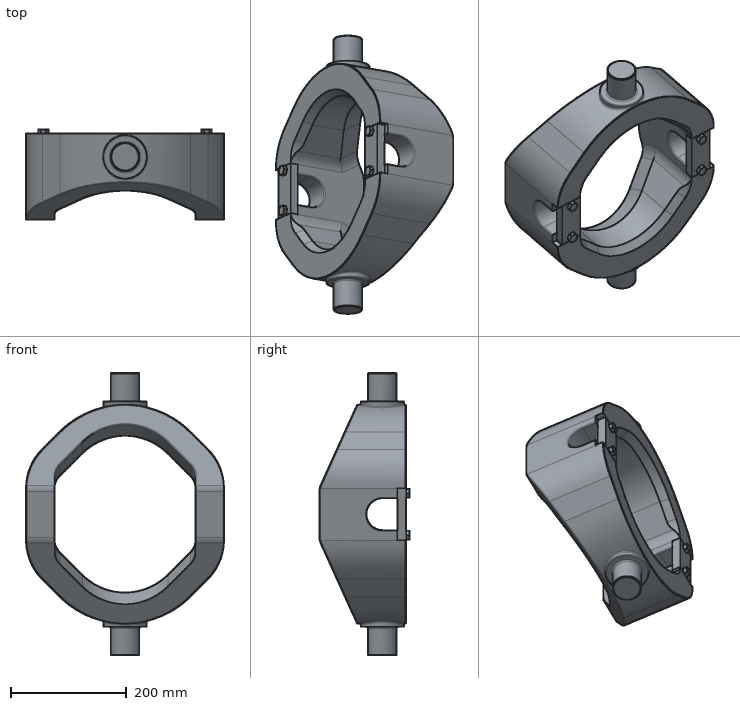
import cadquery as cq
import math


plate_thickness = 15.0

ring_depth = 150.0
outer_half_width = 171.4
outer_corner_radius = 95.0
outer_end_radius = 160.0
flat_half_height = 45.0
inner_half_width = 122.0
inner_corner_radius = 30.0
inner_end_radius = 105.0
inner_flat_half_height = flat_half_height

flare_angle = 30
flare_corner_radius = 49
flare_depth = plate_thickness
flare_width = flare_depth * math.tan(math.radians(flare_angle))

slope_angle = 24.4
slope_blend_radius = 24.5
relief_depth = 40.0
relief_angle = 30
edge_radius = 2.0
back_edge_chamfer = 1.0

trunnion_radius = 25.0
trunnion_tip = 244.5
trunnion_setback = 41.0
trunnion_tip_chamfer = 1.5
trunnion_root_radius = 2.5
collar_radius = 37.5
collar_tip = 195.0
collar_edge_radius = 1.5
collar_root_radius = 2.0

plate_width = 40.0
slot_radius = 27.5
slot_edge_radius = 2.0

bolt_across_flats = 15.5
bolt_head_height = 6.5
bolt_half_spacing = 36.0
bolt_inset = 19.5

slope_radians = math.radians(slope_angle)
reach = 2 * trunnion_tip
margin = 0.5


def flank_reach(half_width, flat_half, corner_radius):
    """Sum of |X| and |Z| on the 45 degree flanks of an octagon outline."""
    return half_width + flat_half + (math.sqrt(2) - 1) * corner_radius


def octagon_prism(half_width, flat_half, corner_radius, end_radius, depth, taper=0):
    """Prism from Y = 0 to -depth: straight sides, 45 degree flanks and round ends."""
    half_diagonal = math.sqrt(0.5)
    corner_center_x = half_width - corner_radius
    end_center_z = flank_reach(half_width, flat_half, corner_radius) - end_radius / half_diagonal
    corner_mid = (
        corner_center_x + corner_radius * math.cos(math.pi / 8),
        flat_half + corner_radius * math.sin(math.pi / 8),
    )
    corner_end = (
        corner_center_x + corner_radius * half_diagonal,
        flat_half + corner_radius * half_diagonal,
    )
    end_start = (end_radius * half_diagonal, end_center_z + end_radius * half_diagonal)
    end_top = (0, end_center_z + end_radius)

    def flip(point, x_sign, z_sign):
        return (x_sign * point[0], z_sign * point[1])

    outline = cq.Workplane("XZ").moveTo(half_width, -flat_half).lineTo(half_width, flat_half)
    outline = outline.threePointArc(corner_mid, corner_end).lineTo(*end_start)
    outline = outline.threePointArc(end_top, flip(end_start, -1, 1))
    outline = outline.lineTo(*flip(corner_end, -1, 1))
    outline = outline.threePointArc(flip(corner_mid, -1, 1), (-half_width, flat_half))
    outline = outline.lineTo(-half_width, -flat_half)
    outline = outline.threePointArc(flip(corner_mid, -1, -1), flip(corner_end, -1, -1))
    outline = outline.lineTo(*flip(end_start, -1, -1))
    outline = outline.threePointArc(flip(end_top, 1, -1), flip(end_start, 1, -1))
    outline = outline.lineTo(*flip(corner_end, 1, -1))
    outline = outline.threePointArc(flip(corner_mid, 1, -1), (half_width, -flat_half))
    return outline.close().extrude(depth, taper=taper)


def opening_prism():
    """Straight opening through the whole depth of the ring."""
    return octagon_prism(
        inner_half_width, inner_flat_half_height, inner_corner_radius, inner_end_radius, ring_depth
    )


def back_flare():
    """Bevel on the flanks and round ends of the opening, running out at its side walls."""
    inner_reach = flank_reach(inner_half_width, inner_flat_half_height, inner_corner_radius)
    flat_half = inner_reach + math.sqrt(2) * flare_width
    flat_half -= flank_reach(inner_half_width, 0, flare_corner_radius)
    return octagon_prism(
        inner_half_width,
        flat_half,
        flare_corner_radius,
        inner_end_radius + flare_width,
        flare_depth,
        taper=flare_angle,
    )


def upper_relief():
    """Upper half of the opening, bent outwards from a plane parallel to the sloped front."""
    bend_y = -ring_depth + relief_depth / math.cos(slope_radians)
    bend_y -= flat_half_height * math.tan(slope_radians)
    upper_half_behind_bend = (
        cq.Workplane("YZ")
        .polyline([(0, 0), (bend_y, 0), (bend_y + reach * math.tan(slope_radians), reach), (0, reach)])
        .close()
        .extrude(outer_half_width, both=True)
    )
    bend_face = opening_prism().intersect(upper_half_behind_bend).faces("<Y").val()
    step_y = 2 * relief_depth
    step_z = step_y * math.tan(math.radians(relief_angle))
    return cq.Workplane(cq.Solid.extrudeLinear(bend_face, cq.Vector(0, -step_y, step_z)))


def side_envelope():
    """Side outline of the ring: a flat front between two slopes, blended where they meet."""
    slope_run = reach * math.tan(slope_radians)
    far_height = flat_half_height + reach
    return (
        cq.Workplane("YZ")
        .polyline(
            [
                (slope_run, far_height),
                (slope_run - ring_depth, far_height),
                (-ring_depth, flat_half_height),
                (-ring_depth, -flat_half_height),
                (slope_run - ring_depth, -far_height),
                (slope_run, -far_height),
            ]
        )
        .close()
        .extrude(outer_half_width, both=True)
        .faces("<Y")
        .edges("|X")
        .fillet(slope_blend_radius)
    )


def make_ring():
    """Ring with its sloped front, its opening and the rounded front edges."""
    ring = octagon_prism(
        outer_half_width, flat_half_height, outer_corner_radius, outer_end_radius, ring_depth
    )
    ring = ring.intersect(side_envelope())
    ring = ring.faces(">Y").edges().chamfer(back_edge_chamfer)
    relief = upper_relief()
    ring = ring.cut(opening_prism().union(relief)).cut(back_flare())
    ring = ring.faces("<Y").edges("|Z").fillet(edge_radius)
    return ring.cut(relief.mirror("XY"))


def slot_cutter(radius, length):
    """Round-ended slot along X, centred on the trunnion plane and open to the back."""
    return (
        cq.Workplane("YZ")
        .moveTo(0, -radius)
        .lineTo(0, radius)
        .lineTo(-trunnion_setback, radius)
        .threePointArc((-trunnion_setback - radius, 0), (-trunnion_setback, -radius))
        .close()
        .extrude(length / 2, both=True)
    )


def cut_slots(ring):
    """Slot through both side walls with rounded mouths, and a seat for the plates behind it."""
    ring = ring.cut(slot_cutter(slot_radius, 2 * outer_half_width))
    slot_ends = cq.selectors.BoxSelector(
        (-reach, -trunnion_setback - slot_radius, -slot_radius / 2),
        (reach, -trunnion_setback, slot_radius / 2),
    )
    ring = ring.edges(slot_ends).fillet(slot_edge_radius)
    seat = cq.Workplane("XY").box(reach, 2 * plate_thickness, 2 * flat_half_height)
    return ring.cut(seat)


def upper_trunnion():
    """Stepped trunnion with a collar, rooted inside the end of the ring."""
    root_z = outer_half_width
    collar = (
        cq.Workplane("XY", origin=(0, -trunnion_setback, root_z))
        .circle(collar_radius)
        .extrude(collar_tip - root_z)
        .faces(">Z")
        .edges()
        .fillet(collar_edge_radius)
    )
    pin = (
        cq.Workplane("XY", origin=(0, -trunnion_setback, root_z))
        .circle(trunnion_radius)
        .extrude(trunnion_tip - root_z)
        .faces(">Z")
        .chamfer(trunnion_tip_chamfer)
    )
    pin_root = cq.selectors.BoxSelector(
        (-trunnion_radius - margin, -reach, collar_tip - margin),
        (trunnion_radius + margin, reach, collar_tip + margin),
        boundingbox=True,
    )
    return collar.union(pin).edges(pin_root).fillet(trunnion_root_radius)


def make_yoke():
    """Ring and both trunnions in one piece, with rounded collar roots."""
    trunnion = upper_trunnion()
    yoke = cut_slots(make_ring()).union(trunnion).union(trunnion.mirror("XY"))
    for side in (-1, 1):
        collar_root = cq.selectors.BoxSelector(
            (-collar_radius - margin, -reach, side * outer_half_width),
            (collar_radius + margin, 0, side * (collar_tip - 2 * collar_edge_radius)),
            boundingbox=True,
        )
        yoke = yoke.edges(collar_root).fillet(collar_root_radius)
    return yoke


def make_plate(side):
    """Plate in the seat, flush with the inner wall and the back of the ring."""
    center_x = side * (inner_half_width + plate_width / 2)
    plate = cq.Workplane("XY").box(plate_width, plate_thickness, 2 * flat_half_height)
    return plate.translate((center_x, -plate_thickness / 2, 0))


def make_bolt_head(side, level):
    """Hexagon head on the back of a plate, with two corners along X."""
    across_corners = bolt_across_flats / math.cos(math.pi / 6)
    center_x = side * (inner_half_width + bolt_inset)
    return (
        cq.Workplane("XZ", origin=(center_x, 0, level * bolt_half_spacing))
        .polygon(6, across_corners)
        .extrude(-bolt_head_height)
    )


yoke = make_yoke()
plates = [make_plate(side) for side in (-1, 1)]
bolt_heads = [make_bolt_head(side, level) for side in (-1, 1) for level in (-1, 1)]
bodies = [yoke, *plates, *bolt_heads]
result = cq.Compound.makeCompound([body.val() for body in bodies])